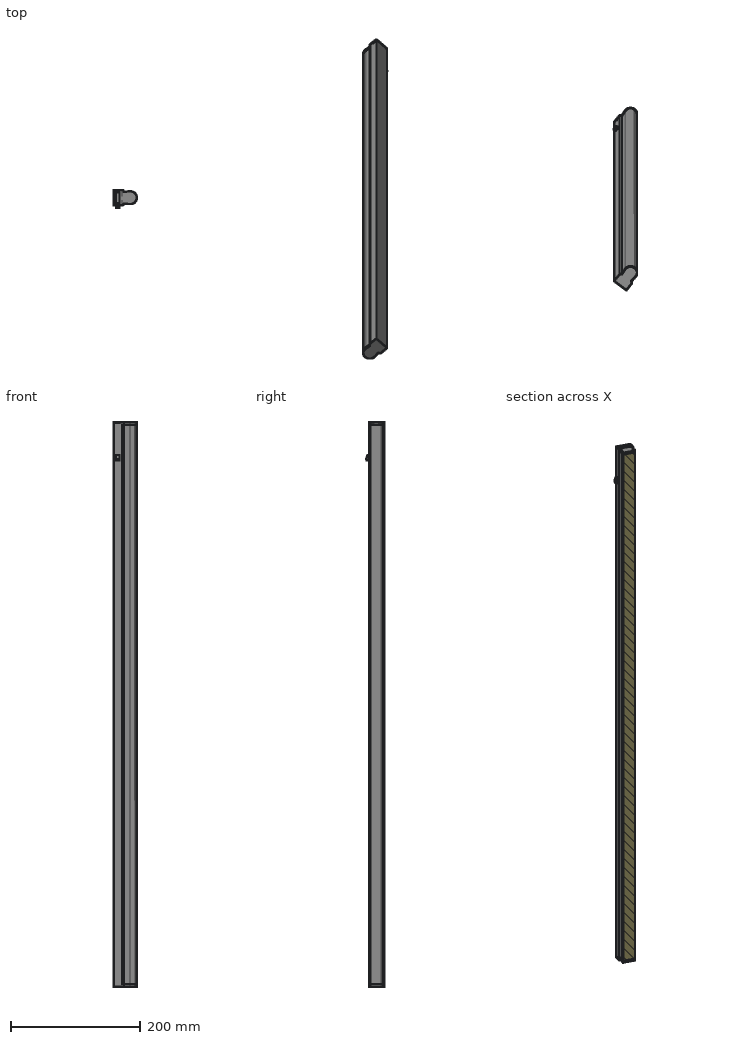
import cadquery as cq
import math

length = 873.0
depth = 36.0
cap_thickness = 4.0

base_width = 24.0
base_depth = 13.0

lens_radius = 10.1
shoulder_radius = 2.8
flare_end_x = 24.5
dome_center_x = depth - lens_radius
lens_length = length - 2 * cap_thickness

socket_x = 6.2
socket_width = 5.4
outer_step_length = 21.0
outer_step_depth = 1.0
inner_step_length = 16.0
inner_step_depth = 2.0

switch_x = 6.2
switch_width = 5.5
switch_top_z = length - 51.0
switch_peak_z = length - 56.5
switch_bottom_z = length - 59.0
switch_top_rise = 2.0
switch_peak_rise = 4.0
switch_bottom_rise = 3.2


def make_base():
    """Plain full-length bar behind the caps and the lens."""
    return cq.Workplane("XY").box(base_depth, base_width, length, centered=(False, True, False))


def make_front_section(bottom_z, height):
    """Front profile: rounded shoulders, flared sides and two quarter-round halves of the dome."""
    half_base = base_width / 2
    shoulder_end_x = base_depth + shoulder_radius
    root_half_width = half_base - shoulder_radius
    bend = shoulder_radius * math.sqrt(0.5)
    dome_bend = lens_radius * math.sqrt(0.5)
    return (
        cq.Workplane("XY", origin=(0, 0, bottom_z))
        .moveTo(base_depth, -half_base)
        .threePointArc((base_depth + bend, -root_half_width - bend), (shoulder_end_x, -root_half_width))
        .lineTo(flare_end_x, -lens_radius)
        .lineTo(dome_center_x, -lens_radius)
        .threePointArc((dome_center_x + dome_bend, -dome_bend), (depth, 0))
        .threePointArc((dome_center_x + dome_bend, dome_bend), (dome_center_x, lens_radius))
        .lineTo(flare_end_x, lens_radius)
        .lineTo(shoulder_end_x, root_half_width)
        .threePointArc((base_depth + bend, root_half_width + bend), (base_depth, half_base))
        .close()
        .extrude(height)
    )


def make_switch():
    """Wedge-shaped rocker that rises towards its lower end."""
    wall_y = -base_width / 2
    return (
        cq.Workplane("YZ", origin=(switch_x - switch_width / 2, 0, 0))
        .moveTo(wall_y, switch_top_z)
        .lineTo(wall_y - switch_top_rise, switch_top_z)
        .lineTo(wall_y - switch_peak_rise, switch_peak_z)
        .lineTo(wall_y - switch_bottom_rise, switch_bottom_z)
        .lineTo(wall_y, switch_bottom_z)
        .close()
        .extrude(switch_width)
    )


def make_socket():
    """Recess in the top end, stepped deeper in its middle."""
    top = cq.Workplane("XY", origin=(socket_x, 0, length))
    outer_step = top.rect(socket_width, outer_step_length).extrude(-outer_step_depth)
    inner_step = top.rect(socket_width, inner_step_length).extrude(-inner_step_depth)
    return outer_step.union(inner_step)


housing = make_base()
for cap_bottom_z in (0, length - cap_thickness):
    housing = housing.union(make_front_section(cap_bottom_z, cap_thickness))
housing = housing.union(make_switch()).cut(make_socket())

lens = make_front_section(cap_thickness, lens_length)

result = cq.Compound.makeCompound([housing.val(), lens.val()])